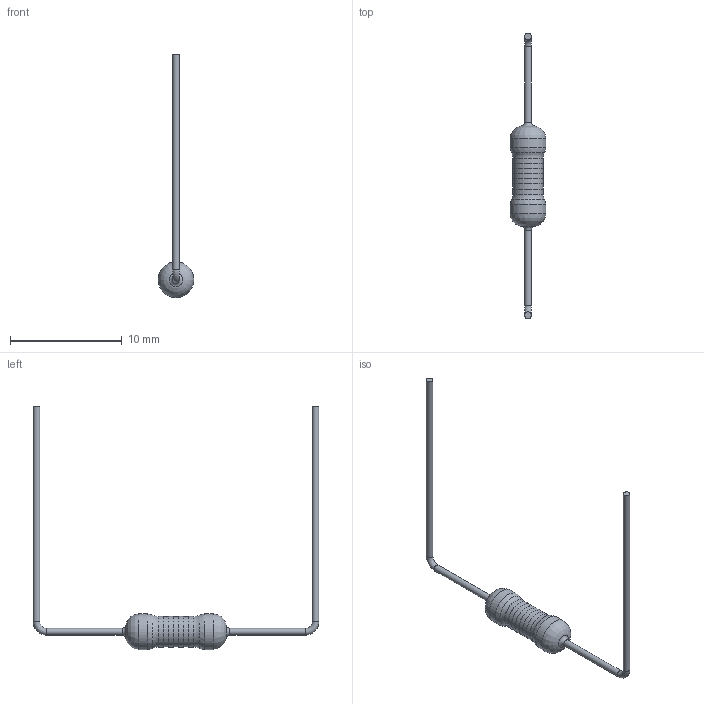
import cadquery as cq
import math


wire_diameter = 0.6
wire_radius = wire_diameter / 2
lead_pitch = 25.0
lead_top = 20.2
bend_radius = 0.9

cap_radius = 3.2 / 2
waist_radius = 2.72 / 2
band_radius = 2.74 / 2
dome_start = 3.35
dome_radius = 1.15
flare_radius = 0.35
shoulder_radius = 1.0

band_count = 4
band_width = 0.46
band_pitch = 2 * band_width
first_band_y = -(band_count - 1) / 2 * band_pitch

waist_end = -first_band_y + band_width / 2

dome_centre_r = cap_radius - dome_radius
flare_centre_r = wire_radius + flare_radius
centre_distance = dome_radius + flare_radius
centre_offset_r = flare_centre_r - dome_centre_r
centre_offset_y = math.sqrt(centre_distance**2 - centre_offset_r**2)
flare_end = dome_start + centre_offset_y
contact_angle = math.atan2(centre_offset_y, centre_offset_r)

shoulder_drop = (cap_radius - waist_radius) / 2
shoulder_angle = math.acos(1 - shoulder_drop / shoulder_radius)
shoulder_half_length = shoulder_radius * math.sin(shoulder_angle)
shoulder_middle = waist_end + shoulder_half_length
cap_inner = shoulder_middle + shoulder_half_length


def arc_point(centre_r, centre_y, radius, angle):
    """Point (r, y) on an arc; the angle is measured from the radial direction."""
    return centre_r + radius * math.cos(angle), centre_y + radius * math.sin(angle)


def make_cap():
    """Turned end cap on the +Y side, from the end of the waist to the wire."""
    concave_middle = arc_point(
        waist_radius + shoulder_radius, waist_end, shoulder_radius, math.pi - shoulder_angle / 2
    )
    shoulder_joint = (waist_radius + shoulder_drop, shoulder_middle)
    convex_middle = arc_point(
        cap_radius - shoulder_radius, cap_inner, shoulder_radius, -shoulder_angle / 2
    )
    dome_middle = arc_point(dome_centre_r, dome_start, dome_radius, contact_angle / 2)
    dome_end = arc_point(dome_centre_r, dome_start, dome_radius, contact_angle)
    flare_middle = arc_point(
        flare_centre_r, flare_end, flare_radius, math.pi + contact_angle / 2
    )
    return (
        cq.Workplane("XY")
        .moveTo(0, waist_end)
        .lineTo(waist_radius, waist_end)
        .threePointArc(concave_middle, shoulder_joint)
        .threePointArc(convex_middle, (cap_radius, cap_inner))
        .lineTo(cap_radius, dome_start)
        .threePointArc(dome_middle, dome_end)
        .threePointArc(flare_middle, (wire_radius, flare_end))
        .lineTo(0, flare_end)
        .close()
        .revolve(360, (0, 0, 0), (0, 1, 0))
    )


def make_cylinder(radius, centre_y, length):
    """Cylinder along Y, centred at the given Y position."""
    return (
        cq.Workplane("XZ", origin=(0, centre_y + length / 2, 0))
        .circle(radius)
        .extrude(length)
    )


def make_lead():
    """Wire from the +Y end of the body, bent up to the top."""
    lead_y = lead_pitch / 2
    bend_start_y = lead_y - bend_radius
    bend_middle = (
        bend_start_y + bend_radius * math.sin(math.pi / 4),
        bend_radius * (1 - math.cos(math.pi / 4)),
    )
    path = (
        cq.Workplane("YZ")
        .moveTo(flare_end, 0)
        .lineTo(bend_start_y, 0)
        .threePointArc(bend_middle, (lead_y, bend_radius))
        .lineTo(lead_y, lead_top)
    )
    return cq.Workplane("XZ", origin=(0, flare_end, 0)).circle(wire_radius).sweep(path)


end_part = make_cap().union(make_lead())
waist = make_cylinder(waist_radius, 0, 2 * waist_end)
result = waist.union(end_part).union(end_part.mirror("XZ"))
for index in range(band_count):
    band_y = first_band_y + index * band_pitch
    result = result.union(make_cylinder(band_radius, band_y, band_width))